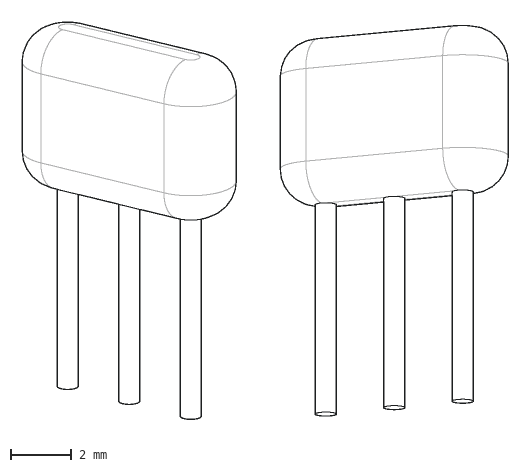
import cadquery as cq

body_length = 8.0
body_thickness = 3.0
body_height = 5.5
rim_radius = 1.2

lead_count = 3
lead_pitch = 2.5
lead_diameter = 0.7
lead_length = 7.0
lead_embed = body_height / 2


def make_body():
    """Slot-shaped block standing on Z = 0, with both rims filleted."""
    block = cq.Workplane("XY").slot2D(body_length, body_thickness).extrude(body_height)
    return block.faces("<Z or >Z").edges().fillet(rim_radius)


def make_lead(x):
    """Round pin hanging below the body, rooted inside it."""
    return (
        cq.Workplane("XY", origin=(x, 0, -lead_length))
        .circle(lead_diameter / 2)
        .extrude(lead_length + lead_embed)
    )


result = make_body()
for index in range(lead_count):
    lead_x = (index - (lead_count - 1) / 2) * lead_pitch
    result = result.union(make_lead(lead_x))